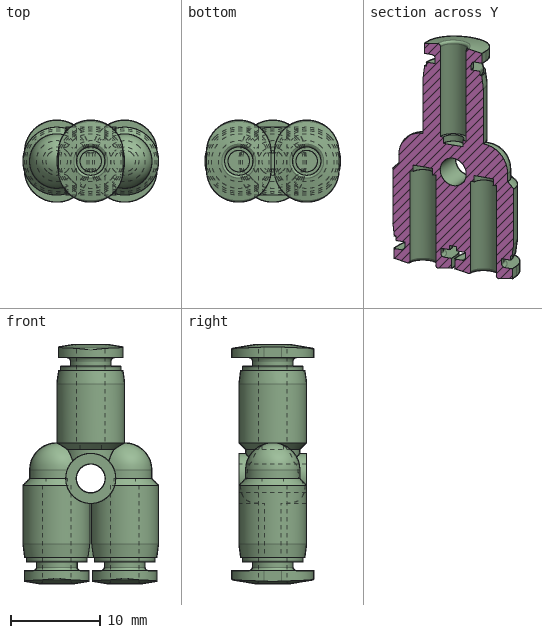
import cadquery as cq
import math

total_height = 26.8
body_radius = 3.8
port_offset = body_radius

collar_length = 9.2
collar_width = 7.26
collar_thickness = 1.5
collar_rim_round = 0.2
collar_face_slope = math.radians(9.5)

flare_end = 1.85
body_start = 2.44
lip_end = 2.94
shoulder_end = 4.44
body_end = 11.02
neck_start = 11.77

sleeve_radius = 4.58 / 2
flare_fillet = flare_end - collar_thickness
flare_radius = sleeve_radius + flare_fillet
lip_radius = 6.8 / 2
lip_edge_round = 0.1
shoulder_radius = 3.6
neck_radius = body_radius - (neck_start - body_end)
shoulder_mid_radius = 3.72

tube_bore_radius = 3.17 / 2
bore_rim_radius = 1.9
tube_bore_depth = body_end
inner_bore_radius = 2.4 / 2
inner_bore_depth = neck_start

dome_center_height = 12.74
eye_height = 11.8
eye_radius = 5.6 / 2
eye_hole_radius = 3.2 / 2
eye_length = 2 * body_radius
web_thickness = 1.8

arc_inset = 1 - math.sqrt(0.5)


def port_body(neck_end):
    """Turned port body without its collar, mouth at z = 0, running up to neck_end."""
    return (
        cq.Workplane("XZ")
        .moveTo(0, collar_thickness)
        .lineTo(flare_radius, collar_thickness)
        .threePointArc(
            (sleeve_radius + arc_inset * flare_fillet, collar_thickness + arc_inset * flare_fillet),
            (sleeve_radius, flare_end),
        )
        .lineTo(sleeve_radius, body_start)
        .lineTo(lip_radius - lip_edge_round, body_start)
        .threePointArc(
            (lip_radius - arc_inset * lip_edge_round, body_start + arc_inset * lip_edge_round),
            (lip_radius, body_start + lip_edge_round),
        )
        .lineTo(lip_radius, lip_end)
        .lineTo(shoulder_radius, lip_end)
        .threePointArc(
            (shoulder_mid_radius, (lip_end + shoulder_end) / 2),
            (body_radius, shoulder_end),
        )
        .lineTo(body_radius, body_end)
        .lineTo(neck_radius, neck_start)
        .lineTo(neck_radius, neck_end)
        .lineTo(0, neck_end)
        .close()
        .revolve(360, (0, 0, 0), (0, 1, 0))
    )


def collar():
    """Obround collar, long in Y, with a shallow conical outer face at z = 0.

    The outer face belongs to a turned disc with a rounded rim, which only shows at the long ends.
    """
    plate = cq.Workplane("XY").slot2D(collar_length, collar_width, 90).extrude(collar_thickness)
    reach = collar_length / 2
    face_drop = (reach - bore_rim_radius) * math.tan(collar_face_slope)
    envelope = (
        cq.Workplane("XZ")
        .polyline([
            (0, 0),
            (bore_rim_radius, 0),
            (reach, face_drop),
            (reach, collar_thickness),
            (0, collar_thickness),
        ])
        .close()
        .revolve(360, (0, 0, 0), (0, 1, 0))
    )
    rounded_disc = envelope.faces("%CYLINDER").edges("<Z").fillet(collar_rim_round)
    return plate.intersect(rounded_disc)


def bore():
    """Stepped blind bore with a rounded rim, opening at z = 0."""
    rim_round = bore_rim_radius - tube_bore_radius
    rim_mid = rim_round * arc_inset
    return (
        cq.Workplane("XZ")
        .lineTo(bore_rim_radius, 0)
        .threePointArc(
            (tube_bore_radius + rim_mid, rim_mid),
            (tube_bore_radius, rim_round),
        )
        .lineTo(tube_bore_radius, tube_bore_depth)
        .lineTo(inner_bore_radius, tube_bore_depth)
        .lineTo(inner_bore_radius, inner_bore_depth)
        .lineTo(0, inner_bore_depth)
        .close()
        .revolve(360, (0, 0, 0), (0, 1, 0))
    )


def place_upper(shape):
    """Turn a downward port part over and move it to the top of the fitting."""
    return shape.rotate((0, 0, 0), (1, 0, 0), 180).translate((0, 0, total_height))


def lower_port():
    """Port with a domed end."""
    dome = cq.Workplane("XY").sphere(neck_radius).translate((0, 0, dome_center_height))
    return port_body(dome_center_height).union(dome).union(collar())


def upper_port():
    """Port whose neck runs down into the mounting eye."""
    return place_upper(port_body(total_height - eye_height).union(collar()))


def eye_cylinder(radius):
    """Cylinder along Y, centred on the mounting eye."""
    return (
        cq.Workplane("XZ", origin=(0, eye_length / 2, eye_height))
        .circle(radius)
        .extrude(eye_length)
    )


def web():
    """Plate joining the two lower ports, flush with the end of their shoulders."""
    return (
        cq.Workplane("XY", origin=(0, 0, lip_end))
        .rect(2 * port_offset, web_thickness)
        .extrude(eye_height - lip_end)
    )


fitting = upper_port().union(eye_cylinder(eye_radius)).union(web())
for side in (-1, 1):
    fitting = fitting.union(lower_port().translate((side * port_offset, 0, 0)))

for side in (-1, 1):
    fitting = fitting.cut(bore().translate((side * port_offset, 0, 0)))
fitting = fitting.cut(place_upper(bore()))

result = fitting.cut(eye_cylinder(eye_hole_radius))